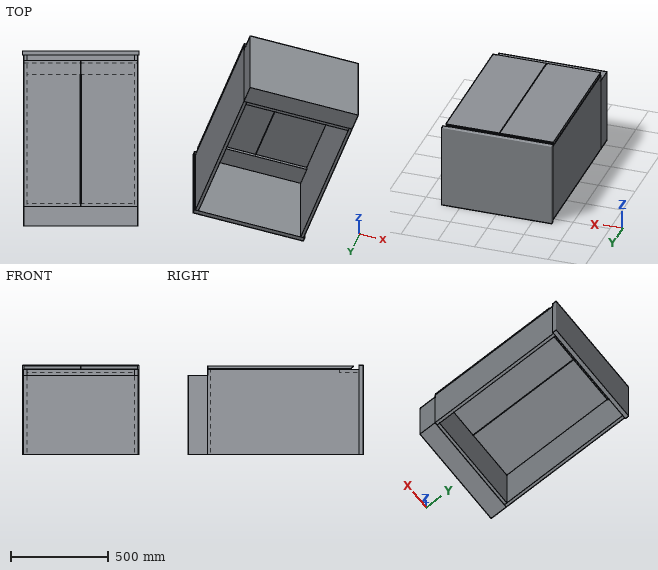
import cadquery as cq

WIDTH = 600.0
LENGTH = 902.0
DEPTH = 460.0

WORKTOP_THICKNESS = 23.0
WORKTOP_CORNER_RADIUS = 3.0
WORKTOP_EDGE_RADIUS = 3.0

CARCASS_WIDTH = 588.0
CARCASS_DEPTH = 439.0
BOARD = 16.0
RAIL_WIDTH = 99.0

PLINTH_HEIGHT = 100.0
PLINTH_DEPTH = 408.0

DOOR_THICKNESS = 16.0
DOOR_STANDOFF = 2.0
DOOR_SIDE_INSET = 2.0
DOOR_GAP = 3.0
DOOR_TOP_CLEARANCE = 27.0
DOOR_BEVEL = 14.0

WORKTOP_Y = LENGTH - WORKTOP_THICKNESS
CARCASS_HEIGHT = WORKTOP_Y - PLINTH_HEIGHT
INNER_WIDTH = CARCASS_WIDTH - 2 * BOARD
DOOR_WIDTH = (CARCASS_WIDTH - DOOR_GAP) / 2 - DOOR_SIDE_INSET
DOOR_CENTRE_X = (DOOR_GAP + DOOR_WIDTH) / 2
DOOR_HEIGHT = CARCASS_HEIGHT - DOOR_TOP_CLEARANCE


def board(size_x, size_y, size_z, centre_x, start_y, start_z):
    """Rectangular board, centred on centre_x and starting at start_y and start_z."""
    return (
        cq.Workplane("XY")
        .box(size_x, size_y, size_z, centered=(True, False, False))
        .translate((centre_x, start_y, start_z))
    )


def make_worktop():
    """Slab with rounded edges around its outer face and front corners; the wall side stays square."""
    slab = board(WIDTH, WORKTOP_THICKNESS, DEPTH, 0, WORKTOP_Y, 0)
    slab = slab.edges("|Y and >Z").fillet(WORKTOP_CORNER_RADIUS)
    return slab.faces(">Y").edges("not <Z").fillet(WORKTOP_EDGE_RADIUS)


def make_side_panel(side):
    """Carcass side; side is -1 for the -X panel and 1 for the +X panel."""
    centre_x = side * (CARCASS_WIDTH - BOARD) / 2
    return board(BOARD, CARCASS_HEIGHT, CARCASS_DEPTH, centre_x, PLINTH_HEIGHT, 0)


def make_bottom_panel():
    """Cabinet floor between the sides, resting on the plinth."""
    return board(INNER_WIDTH, BOARD, CARCASS_DEPTH, 0, PLINTH_HEIGHT, 0)


def make_top_rail():
    """Rail between the sides, under the worktop and flush with the door opening."""
    return board(INNER_WIDTH, RAIL_WIDTH, BOARD, 0, WORKTOP_Y - RAIL_WIDTH, CARCASS_DEPTH - BOARD)


def make_plinth():
    """Base block, set back from the door side."""
    return board(CARCASS_WIDTH, PLINTH_HEIGHT, PLINTH_DEPTH, 0, 0, 0)


def make_door(side):
    """Door with its top end undercut as a finger grip; side is -1 or 1."""
    profile = [
        (0, 0),
        (DOOR_HEIGHT - DOOR_BEVEL, 0),
        (DOOR_HEIGHT, DOOR_BEVEL),
        (DOOR_HEIGHT, DOOR_THICKNESS),
        (0, DOOR_THICKNESS),
    ]
    return (
        cq.Workplane("YZ")
        .polyline(profile)
        .close()
        .extrude(DOOR_WIDTH / 2, both=True)
        .translate((side * DOOR_CENTRE_X, PLINTH_HEIGHT, CARCASS_DEPTH + DOOR_STANDOFF))
    )


worktop = make_worktop()
bottom_panel = make_bottom_panel()
top_rail = make_top_rail()
plinth = make_plinth()
side_panels = [make_side_panel(side) for side in (-1, 1)]
doors = [make_door(side) for side in (-1, 1)]

result = cq.Compound.makeCompound([
    worktop.val(),
    bottom_panel.val(),
    top_rail.val(),
    plinth.val(),
    *[panel.val() for panel in side_panels],
    *[door.val() for door in doors],
])